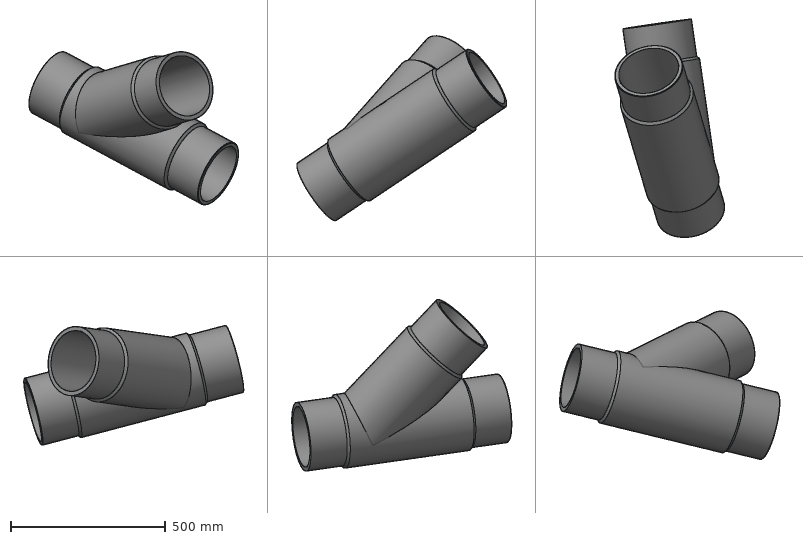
import cadquery as cq

run_length = 678.0
spigot_diameter = 225.0
body_diameter = 241.5
bore_diameter = 198.0
spigot_length = 122.0
branch_angle = 45.0
branch_start = 206.0
branch_length = 474.5
end_chamfer = 2.0

body_bevel = (body_diameter - spigot_diameter) / 2


def rod(plane, diameter, length):
    """Solid cylinder that starts on a plane and runs along its normal."""
    return cq.Workplane(plane).circle(diameter / 2).extrude(length)


run_end = cq.Plane(origin=(0, 0, 0), xDir=(0, 1, 0), normal=(1, 0, 0))
run_shoulder = cq.Plane(origin=(spigot_length, 0, 0), xDir=(0, 1, 0), normal=(1, 0, 0))
junction = cq.Plane(origin=(branch_start, 0, 0), xDir=(0, 1, 0), normal=(1, 0, 0))
branch_base = junction.rotated((-branch_angle, 0, 0))

run_body = rod(run_shoulder, body_diameter, run_length - 2 * spigot_length)
run_body = run_body.faces("<X or >X").chamfer(body_bevel)
run_spigots = rod(run_end, spigot_diameter, run_length).faces(">X").chamfer(end_chamfer)
run = run_spigots.union(run_body)

branch_body = rod(branch_base, body_diameter, branch_length - spigot_length)
branch_body = branch_body.faces(">Z").chamfer(body_bevel)
branch = rod(branch_base, spigot_diameter, branch_length).union(branch_body)

run_bore = rod(run_end, bore_diameter, run_length)
branch_bore = rod(branch_base, bore_diameter, branch_length)

result = run.union(branch).cut(run_bore).cut(branch_bore)